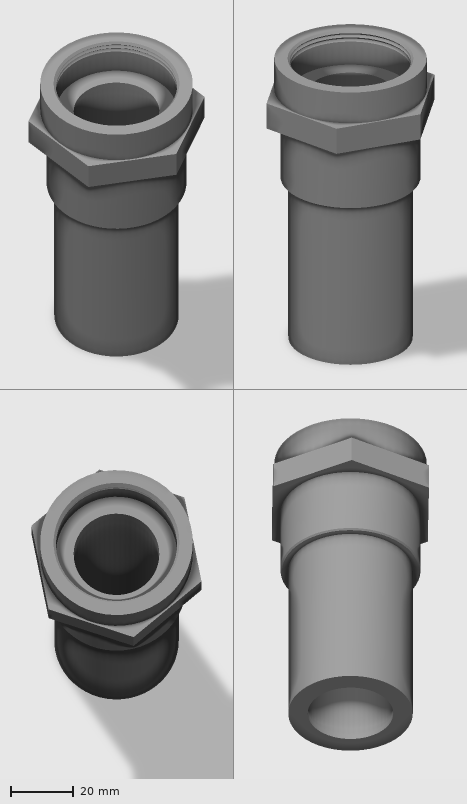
import cadquery as cq
import math

total_length = 100.0
collar_height = 11.0
hex_height = 9.0
body_height = 23.0

collar_diameter = 49.0
hex_across_flats = 50.0
body_diameter = 45.0
body_chamfer = 0.5
tube_diameter = 40.0

bore_diameter = 27.5
socket_diameter = 39.0
socket_depth = 12.0
thread_root_diameter = 40.4
thread_pitch = 1.5
thread_turns = 3

hex_top = total_length - collar_height
hex_bottom = hex_top - hex_height
body_bottom = hex_bottom - body_height


def cylinder(diameter, bottom, top):
    """Solid cylinder on the Z axis between two levels."""
    return cq.Workplane("XY").workplane(offset=bottom).circle(diameter / 2).extrude(top - bottom)


def hex_nut():
    """Hexagon with flats facing +X and -X and corners on the Y axis."""
    across_corners = hex_across_flats / math.cos(math.pi / 6)
    return (
        cq.Workplane("XY")
        .workplane(offset=hex_bottom)
        .transformed(rotate=(0, 0, 90))
        .polygon(6, across_corners)
        .extrude(hex_height)
    )


def socket():
    """Socket with ring-shaped thread grooves: a flared mouth, then V grooves between sharp crests."""
    crest_radius = socket_diameter / 2
    root_radius = thread_root_diameter / 2
    floor = total_length - socket_depth
    profile = [(0, floor), (0, total_length)]
    for turn in range(thread_turns):
        root_level = total_length - turn * thread_pitch
        profile.append((root_radius, root_level))
        profile.append((crest_radius, root_level - thread_pitch / 2))
    profile.append((crest_radius, floor))
    return cq.Workplane("XZ").polyline(profile).close().revolve(360, (0, 0, 0), (0, 1, 0))


tube = cylinder(tube_diameter, 0, body_bottom)
body = cylinder(body_diameter, body_bottom, hex_bottom).faces("<Z").chamfer(body_chamfer)
collar = cylinder(collar_diameter, hex_top, total_length)
bore = cylinder(bore_diameter, 0, total_length)

result = tube.union(body).union(hex_nut()).union(collar).cut(socket()).cut(bore)